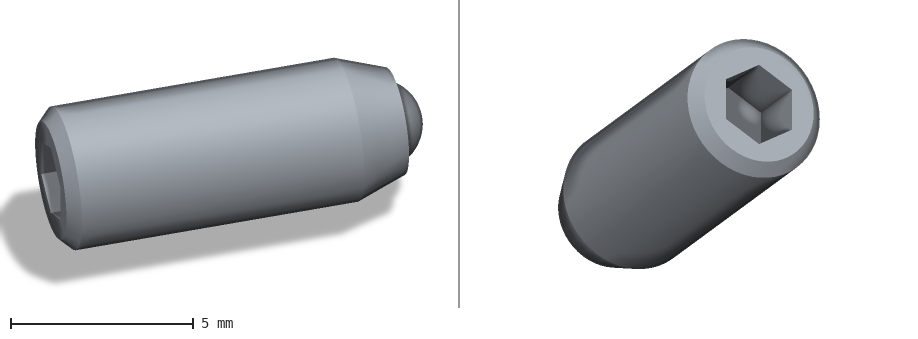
import cadquery as cq
import math

body_diameter = 4.0
total_length = 10.5
drive_chamfer = 0.35
nose_diameter = 3.0
nose_length = 1.4
ball_diameter = 2.5
ball_protrusion = 0.75
hex_across_flats = 2.0
hex_depth = 2.0

body_radius = body_diameter / 2
nose_radius = nose_diameter / 2
ball_radius = ball_diameter / 2
body_length = total_length - ball_protrusion
ball_center_y = total_length - ball_radius
hex_across_corners = hex_across_flats / math.cos(math.radians(30))


def make_ball():
    """Full spherical ball, standing proud of the nose."""
    return cq.Workplane("XY").sphere(ball_radius).translate((0, ball_center_y, 0))


def make_hex_socket():
    """Hexagonal prism with corners pointing along +Z and -Z, starting at the drive end."""
    return (
        cq.Workplane("XZ")
        .transformed(rotate=(0, 0, 90))
        .polygon(6, hex_across_corners)
        .extrude(-hex_depth)
    )


def make_screw_body():
    """Turned body with a chamfered drive end, a tapered nose, a hex socket and a ball seat."""
    profile = [
        (0, 0),
        (body_radius - drive_chamfer, 0),
        (body_radius, drive_chamfer),
        (body_radius, body_length - nose_length),
        (nose_radius, body_length),
        (0, body_length),
    ]
    turned = cq.Workplane("XY").polyline(profile).close().revolve(360, (0, 0, 0), (0, 1, 0))
    return turned.cut(make_hex_socket()).cut(make_ball()).solids()


screw_body = make_screw_body()
ball = make_ball()

result = cq.Compound.makeCompound([screw_body.val(), ball.val()])